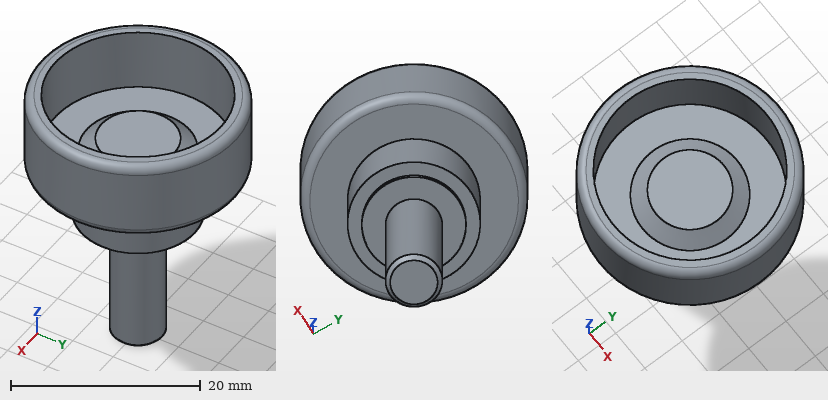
import cadquery as cq

stud_diameter = 6.0
stud_length = 16.0
tip_chamfer = 0.5
collar_diameter = 11.0
collar_height = 0.5
hub_diameter = 14.0
hub_height = 6.5
head_diameter = 24.0
head_height = 9.5
head_fillet = 1.0
recess_diameter = 20.4
recess_depth = 7.5
boss_base_diameter = 12.6
boss_top_diameter = 9.0
boss_height = 1.5

collar_bottom = stud_length
hub_bottom = collar_bottom + collar_height
head_bottom = hub_bottom + hub_height
head_top = head_bottom + head_height
recess_floor = head_top - recess_depth


def cylinder(diameter, bottom, height):
    """Upright cylinder on the Z axis."""
    return cq.Workplane("XY", origin=(0, 0, bottom)).circle(diameter / 2).extrude(height)


def make_boss():
    """Tapered boss on the floor of the recess."""
    base_radius = boss_base_diameter / 2
    top_radius = boss_top_diameter / 2
    solid = cq.Solid.makeCone(base_radius, top_radius, boss_height, pnt=cq.Vector(0, 0, recess_floor))
    return cq.Workplane(obj=solid)


def make_knob():
    """Rounded cup-shaped head with a hub below it."""
    head = cylinder(head_diameter, head_bottom, head_height).edges().fillet(head_fillet)
    recess = cylinder(recess_diameter, recess_floor, recess_depth)
    hub = cylinder(hub_diameter, hub_bottom, hub_height)
    return head.cut(recess).union(hub).union(make_boss())


def make_stud():
    """Plain stud with a chamfered tip; its collar seats against the hub."""
    shank = cylinder(stud_diameter, 0, stud_length).faces("<Z").chamfer(tip_chamfer)
    collar = cylinder(collar_diameter, collar_bottom, collar_height)
    return shank.union(collar)


knob = make_knob()
stud = make_stud()

result = cq.Compound.makeCompound([*knob.solids().vals(), *stud.solids().vals()])